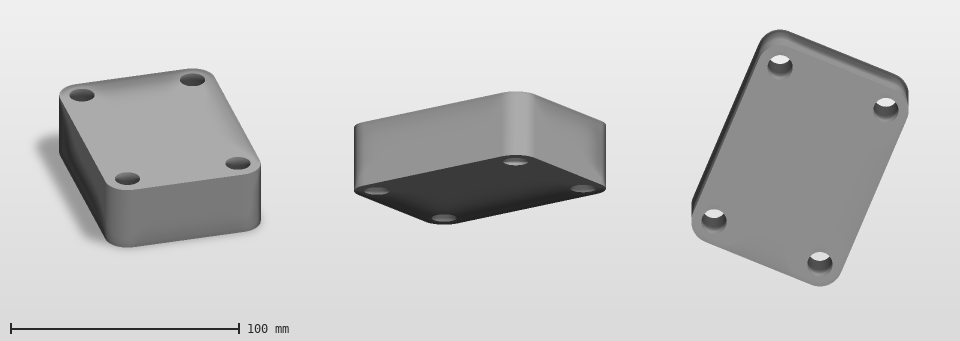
import cadquery as cq

length = 95.0
width = 70.0
height = 29.1
corner_radius = 10.0

hole_diameter = 11.0
hole_spacing_x = length - 2 * corner_radius
hole_spacing_y = width - 2 * corner_radius

block = cq.Workplane("XY").box(length, width, height).edges("|Z").fillet(corner_radius)

result = (
    block.faces(">Z")
    .workplane()
    .rect(hole_spacing_x, hole_spacing_y, forConstruction=True)
    .vertices()
    .hole(hole_diameter)
)